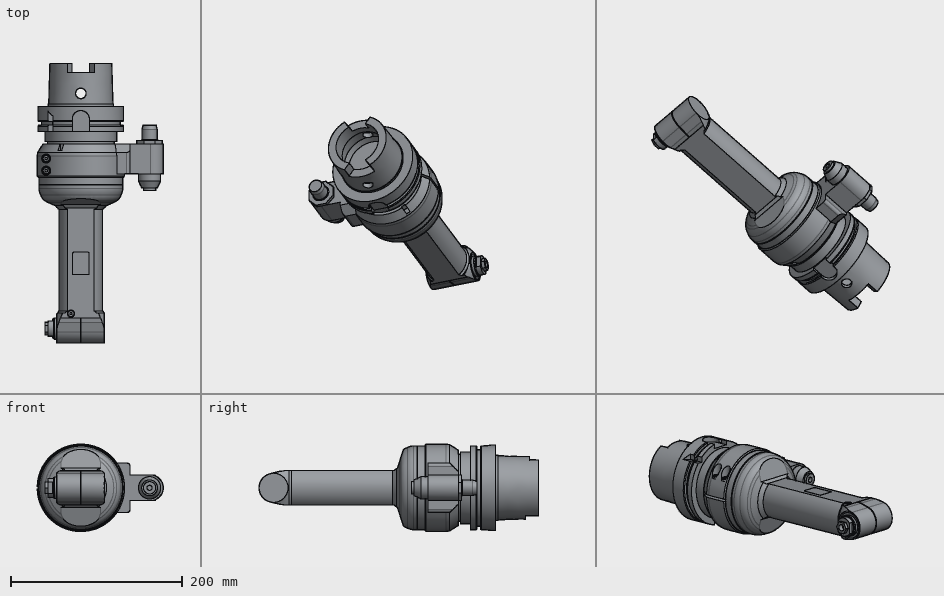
import cadquery as cq
import math


SHANK_END_Y = 50.0
SHANK_END_RADIUS = 36.2
SHANK_BASE_RADIUS = 37.6
SEAT_RADIUS = 38.2
SEAT_HEIGHT = 2.7

BORE_RADIUS = 53.0 / 2
BORE_FLOOR_RADIUS = 28.5
CLAMP_GROOVE_RADIUS = 63.0 / 2
CLAMP_GROOVE_TOP_Y = 27.4
CLAMP_GROOVE_SHOULDER_Y = 30.1
CLAMP_GROOVE_BOTTOM_Y = 9.8

SLOT_HALF_WIDTH = 10.0
SLOT_FLARE_HALF_WIDTH = 15.8
SLOT_FLARE_START_Z = 24.5
SLOT_FLARE_END_Z = 32.3
UPPER_SLOT_DEPTH = 10.4
LOWER_SLOT_DEPTH = 15.0
ACCESS_HOLE_DIAMETER = 12.0
ACCESS_HOLE_Y = 15.1

FLANGE_RADIUS = 50.0
FLANGE_BACK_Y = -29.5
GRIP_GROOVE_RADIUS = 46.0
GRIP_GROOVE_FRONT_Y = -17.8
GRIP_GROOVE_BACK_Y = -21.8
GRIP_EDGE_LENGTH = 1.4
GRIP_EDGE_DROP = 0.8
KEYWAY_TOP_Y = -4.9
KEYWAY_FLOOR_Z = 44.0
NOTCH_X = -32.2
NOTCH_Z = 32.0
NOTCH_OUTER_X = -38.6
NOTCH_OUTER_Y = -5.5
NOTCH_INNER_Y = -11.8

NECK_RADIUS = 42.0
NECK_STEP_Y = -41.1
NECK_END_RADIUS = 39.2

RING_FRONT_Y = -43.6
RING_BACK_Y = -82.6
RING_RADIUS = 51.0
RING_FRONT_RADIUS = 44.0
RING_BORE_RADIUS = 36.0
RING_BEVEL_RADIUS = 50.4
RING_BEVEL_END_Y = -53.6
RING_BLEND_END_Y = -57.7
RING_EDGE_CHAMFER = 1.4
SLIT_WIDTH = 3.0

SCREW_X = -40.4
SCREW_YS = (-60.8, -74.9)
SCREW_POCKET_DIAMETER = 10.4
SCREW_POCKET_FLOOR_Z = 21.0
SCREW_HEAD_DIAMETER = 9.0
SCREW_HEAD_HEIGHT = 3.3
SCREW_HEAD_CHAMFER = 1.0
SCREW_SOCKET_DIAMETER = 3.0
SCREW_SOCKET_DEPTH = 2.0
SCREW_SHANK_DIAMETER = 6.0

RING_GROOVE_WIDTH = 5.0
RING_GROOVE_LENGTH = 8.0
RING_GROOVE_FLOOR_RADIUS = 42.5
RING_GROOVE_ANGLES = (120, 240)

BLOCK_BACK_Y = -78.6
BLOCK_END_X = 57.5
BLOCK_HALF_HEIGHT = 29.0
BLOCK_EDGE_RADIUS = 4.0
BLOCK_BEVEL_HEIGHT = 10.0
ARM_TIP_X = 96.23
ARM_HALF_WIDTH = 15.0

PIN_X = 80.1
PIN_DIAMETER = 18.0
PIN_TOP_Y = -22.0
PIN_TIP_CHAMFER_WIDTH = 1.2
PIN_TIP_CHAMFER_LENGTH = 4.8
PIN_FOOT_DIAMETER = 20.0
PIN_FOOT_HEIGHT = 0.9
PIN_COLLAR_WIDTH = 30.0
PIN_COLLAR_HEIGHT = 4.0
PIN_COLLAR_SIDES = 8
PIN_CAP_DIAMETER = 26.0
PIN_CAP_LENGTH = 8.5
PIN_CONE_END_DIAMETER = 18.4
PIN_CONE_LENGTH = 8.0
PIN_END_DIAMETER = 14.4
PIN_BOTTOM_Y = -98.2
PIN_SOCKET_DIAMETER = 6.0
PIN_SOCKET_DEPTH = 5.0

BELL_RADIUS = 49.0
BELL_ROUND_START_Y = -95.8
BELL_ROUND_MID = (48.4, -99.6)
BELL_ROUND_END = (47.0, -103.0)
BELL_SHOULDER_MID = (44.9, -107.3)
BELL_SHOULDER_END = (41.75, -110.2)
BELL_CONE_START = (38.4, -112.0)
BELL_CONE_END = (30.0, -115.8)
BELL_SEAM_Y = -91.5
SEAM_WIDTH = 0.8
SEAM_DEPTH = 0.4
BELL_FLAT_OUTER = (-106.2, 48.7)
BELL_FLAT_INNER = (-114.6, 23.0)
BELL_FLAT_FOOT_Y = -118.5
NECK_TUBE_RADIUS = 25.5
NECK_TUBE_START_Y = -120.3
NECK_TUBE_HALF_HEIGHT = 20.2

PLATE_WIDTH = 19.0
PLATE_TOP_Y = -169.5
PLATE_BOTTOM_Y = -196.1
PLATE_CORNER_RADIUS = 2.0
PLATE_DEPTH = 0.2

TIP_Y = -275.94
HEAD_LEFT_X = -28.1
HEAD_RIGHT_X = 27.4
HEAD_BACK_Y = -241.0
HEAD_ROUND_RADIUS = 17.0
HEAD_TAPER_START_Y = -246.8
HEAD_TAPER_ANGLE = 14.0
HEAD_TAPER_STEP = 0.35
HEAD_TAPER_EDGE_Y = -251.7
HEAD_END_CONE_RUN = 0.68
HEAD_FLARE_START_Y = -238.2
HEAD_FLARE_RADIUS = 27.5

HEAD_SCREW_X = -11.5
HEAD_SCREW_Y = -241.5
HEAD_SCREW_POCKET_DIAMETER = 8.5
HEAD_SCREW_POCKET_DEPTH = 1.5
HEAD_SCREW_DIAMETER = 7.0
HEAD_SCREW_HEIGHT = 1.2
HEAD_SCREW_SOCKET_DIAMETER = 2.6
FACE_RECESS_RADIUS = 15.2
FACE_RECESS_DEPTH = 0.4
SIDE_HOLE_DIAMETER = 2.5
SIDE_HOLE_DEPTH = 2.0
SIDE_HOLE_RADIUS = 13.8
SIDE_HOLE_ANGLE = 10.0

NUT_BASE_RADIUS = 12.5
NUT_BASE_LENGTH = 4.2
NUT_RIM_CHAMFER = 1.0
NUT_RADIUS = 11.1
NUT_FACE_X = -38.0
NUT_NOSE_X = -42.0
NUT_NOSE_WIDTH = 15.0
NUT_FLAT_HALF_WIDTH = 9.0
NUT_FLAT_LENGTH = 5.0
NUT_BORE_DIAMETER = 7.5
NUT_BORE_DEPTH = 6.0

REACH = 2 * RING_RADIUS


def revolve_y(outline):
    """Turn a closed (radius, y) outline about the Y axis."""
    return outline.close().revolve(360, (0, 0, 0), (0, 1, 0))


def cylinder_y(radius, y_top, y_bottom, x=0.0):
    return cq.Workplane("XZ", origin=(x, y_top, 0)).circle(radius).extrude(y_top - y_bottom)


def cylinder_z(diameter, x, y, z_bottom, z_top):
    plane = cq.Workplane("XY", origin=(x, y, z_bottom))
    return plane.circle(diameter / 2).extrude(z_top - z_bottom)


def box_between(x_range, y_range, z_range):
    sizes = [high - low for low, high in (x_range, y_range, z_range)]
    corner = (x_range[0], y_range[0], z_range[0])
    return cq.Workplane("XY").box(*sizes, centered=False).translate(corner)


def seam_ring(radius, y):
    """Shallow ring groove round a cylinder on the Y axis."""
    top = y + SEAM_WIDTH / 2
    bottom = y - SEAM_WIDTH / 2
    return cylinder_y(radius + SEAM_DEPTH, top, bottom).cut(cylinder_y(radius - SEAM_DEPTH, top, bottom))



def spindle_blank():
    return revolve_y(
        cq.Workplane("XY")
        .moveTo(0, SHANK_END_Y)
        .lineTo(SHANK_END_RADIUS, SHANK_END_Y)
        .lineTo(SHANK_BASE_RADIUS, SEAT_HEIGHT)
        .lineTo(SEAT_RADIUS, SEAT_HEIGHT)
        .lineTo(SEAT_RADIUS, 0)
        .lineTo(FLANGE_RADIUS, 0)
        .lineTo(FLANGE_RADIUS, GRIP_GROOVE_FRONT_Y + GRIP_EDGE_LENGTH)
        .lineTo(FLANGE_RADIUS - GRIP_EDGE_DROP, GRIP_GROOVE_FRONT_Y)
        .lineTo(GRIP_GROOVE_RADIUS, GRIP_GROOVE_FRONT_Y)
        .lineTo(GRIP_GROOVE_RADIUS, GRIP_GROOVE_BACK_Y)
        .lineTo(FLANGE_RADIUS - GRIP_EDGE_DROP, GRIP_GROOVE_BACK_Y)
        .lineTo(FLANGE_RADIUS, GRIP_GROOVE_BACK_Y - GRIP_EDGE_LENGTH)
        .lineTo(FLANGE_RADIUS, FLANGE_BACK_Y)
        .lineTo(NECK_RADIUS, FLANGE_BACK_Y)
        .lineTo(NECK_RADIUS, NECK_STEP_Y)
        .lineTo(NECK_END_RADIUS, NECK_STEP_Y)
        .lineTo(NECK_END_RADIUS, RING_FRONT_Y)
        .lineTo(0, RING_FRONT_Y)
    )


def shank_bore():
    return revolve_y(
        cq.Workplane("XY")
        .moveTo(0, SHANK_END_Y)
        .lineTo(BORE_RADIUS, SHANK_END_Y)
        .lineTo(BORE_RADIUS, CLAMP_GROOVE_SHOULDER_Y)
        .lineTo(CLAMP_GROOVE_RADIUS, CLAMP_GROOVE_TOP_Y)
        .lineTo(CLAMP_GROOVE_RADIUS, CLAMP_GROOVE_BOTTOM_Y)
        .lineTo(BORE_FLOOR_RADIUS, SEAT_HEIGHT)
        .lineTo(0, SEAT_HEIGHT)
    )


def end_slot(depth):
    """Drive slot in the shank end on the +Z side, flared towards the outside."""
    return (
        cq.Workplane("XZ", origin=(0, SHANK_END_Y, 0))
        .moveTo(SLOT_HALF_WIDTH, 0)
        .lineTo(SLOT_HALF_WIDTH, SLOT_FLARE_START_Z)
        .lineTo(SLOT_FLARE_HALF_WIDTH, SLOT_FLARE_END_Z)
        .lineTo(SLOT_FLARE_HALF_WIDTH, FLANGE_RADIUS)
        .lineTo(-SLOT_FLARE_HALF_WIDTH, FLANGE_RADIUS)
        .lineTo(-SLOT_FLARE_HALF_WIDTH, SLOT_FLARE_END_Z)
        .lineTo(-SLOT_HALF_WIDTH, SLOT_FLARE_START_Z)
        .lineTo(-SLOT_HALF_WIDTH, 0)
        .close()
        .extrude(depth)
    )


def flange_keyway():
    """Round-ended keyway on the +Z side, open at the back of the flange."""
    arc_y = KEYWAY_TOP_Y - SLOT_HALF_WIDTH
    return (
        cq.Workplane("XY", origin=(0, 0, KEYWAY_FLOOR_Z))
        .moveTo(-SLOT_HALF_WIDTH, FLANGE_BACK_Y)
        .lineTo(-SLOT_HALF_WIDTH, arc_y)
        .threePointArc((0, KEYWAY_TOP_Y), (SLOT_HALF_WIDTH, arc_y))
        .lineTo(SLOT_HALF_WIDTH, FLANGE_BACK_Y)
        .close()
        .extrude(FLANGE_RADIUS)
    )


def flange_notch():
    """Corner notch in the flange rim on the -X, +Z side, with a slanted end."""
    return (
        cq.Workplane("XY", origin=(0, 0, NOTCH_Z))
        .moveTo(NOTCH_X, FLANGE_BACK_Y)
        .lineTo(NOTCH_X, NOTCH_INNER_Y)
        .lineTo(NOTCH_OUTER_X, NOTCH_OUTER_Y)
        .lineTo(-FLANGE_RADIUS, NOTCH_OUTER_Y)
        .lineTo(-FLANGE_RADIUS, FLANGE_BACK_Y)
        .close()
        .extrude(FLANGE_RADIUS)
    )


def make_spindle():
    body = spindle_blank().cut(shank_bore())
    body = body.cut(end_slot(UPPER_SLOT_DEPTH))
    body = body.cut(end_slot(LOWER_SLOT_DEPTH).mirror("XY"))
    body = body.cut(cylinder_z(ACCESS_HOLE_DIAMETER, 0, ACCESS_HOLE_Y, -FLANGE_RADIUS, FLANGE_RADIUS))
    keyway = flange_keyway()
    return body.cut(keyway).cut(keyway.mirror("XY")).cut(flange_notch())



def ring_blank():
    return revolve_y(
        cq.Workplane("XY")
        .moveTo(0, RING_FRONT_Y)
        .lineTo(RING_FRONT_RADIUS, RING_FRONT_Y)
        .lineTo(RING_BEVEL_RADIUS, RING_BEVEL_END_Y)
        .lineTo(RING_RADIUS, RING_BLEND_END_Y)
        .lineTo(RING_RADIUS, RING_BACK_Y + RING_EDGE_CHAMFER)
        .lineTo(RING_RADIUS - RING_EDGE_CHAMFER, RING_BACK_Y)
        .lineTo(0, RING_BACK_Y)
    )


def torque_arm():
    """Block with rounded outer edges and bevelled front, carrying the round-ended arm."""
    block = box_between(
        (0, BLOCK_END_X), (BLOCK_BACK_Y, RING_FRONT_Y), (-BLOCK_HALF_HEIGHT, BLOCK_HALF_HEIGHT)
    )
    block = block.edges("|Y and >X").fillet(BLOCK_EDGE_RADIUS)
    bevel_z = BLOCK_HALF_HEIGHT - BLOCK_BEVEL_HEIGHT
    bevel = (
        cq.Workplane("YZ")
        .moveTo(RING_FRONT_Y, bevel_z)
        .lineTo(RING_BEVEL_END_Y, BLOCK_HALF_HEIGHT)
        .lineTo(RING_FRONT_Y, BLOCK_HALF_HEIGHT)
        .close()
        .extrude(BLOCK_END_X)
    )
    block = block.cut(bevel).cut(bevel.mirror("XY"))
    round_x = ARM_TIP_X - ARM_HALF_WIDTH
    arm = (
        cq.Workplane("XZ", origin=(0, RING_FRONT_Y, 0))
        .moveTo(0, -ARM_HALF_WIDTH)
        .lineTo(round_x, -ARM_HALF_WIDTH)
        .threePointArc((ARM_TIP_X, 0), (round_x, ARM_HALF_WIDTH))
        .lineTo(0, ARM_HALF_WIDTH)
        .close()
        .extrude(RING_FRONT_Y - BLOCK_BACK_Y)
    )
    return block.union(arm)


def clamp_screw(y):
    """Socket head and the shank that crosses the slit."""
    head_top = SCREW_POCKET_FLOOR_Z + SCREW_HEAD_HEIGHT
    head = cylinder_z(SCREW_HEAD_DIAMETER, SCREW_X, y, SCREW_POCKET_FLOOR_Z, head_top)
    head = head.faces(">Z").chamfer(SCREW_HEAD_CHAMFER)
    head = head.cut(cylinder_z(SCREW_SOCKET_DIAMETER, SCREW_X, y, head_top - SCREW_SOCKET_DEPTH, head_top))
    shank = cylinder_z(SCREW_SHANK_DIAMETER, SCREW_X, y, -SLIT_WIDTH, SCREW_POCKET_FLOOR_Z)
    return head.union(shank)


def ring_groove(angle):
    """Short groove across the bevelled front edge, at an angle measured from +X towards +Z."""
    groove = box_between(
        (RING_GROOVE_FLOOR_RADIUS, REACH),
        (RING_FRONT_Y - RING_GROOVE_LENGTH, RING_FRONT_Y),
        (-RING_GROOVE_WIDTH / 2, RING_GROOVE_WIDTH / 2),
    )
    return groove.rotate((0, 0, 0), (0, 1, 0), -angle)


def make_clamp_ring():
    body = ring_blank().union(torque_arm())
    body = body.cut(
        box_between((-REACH, 0), (RING_BACK_Y, RING_FRONT_Y), (-SLIT_WIDTH / 2, SLIT_WIDTH / 2))
    )
    for y in SCREW_YS:
        body = body.cut(cylinder_z(SCREW_POCKET_DIAMETER, SCREW_X, y, SCREW_POCKET_FLOOR_Z, REACH))
        body = body.union(clamp_screw(y))
    for angle in RING_GROOVE_ANGLES:
        body = body.cut(ring_groove(angle))
    body = body.cut(cylinder_y(RING_BORE_RADIUS, RING_FRONT_Y, RING_BACK_Y))
    return body.cut(cylinder_y(PIN_DIAMETER / 2, RING_FRONT_Y, BLOCK_BACK_Y, PIN_X))



def make_stop_pin():
    collar_top_y = RING_FRONT_Y + PIN_COLLAR_HEIGHT
    foot_top_y = collar_top_y + PIN_FOOT_HEIGHT
    cap_end_y = BLOCK_BACK_Y - PIN_CAP_LENGTH
    cone_end_y = cap_end_y - PIN_CONE_LENGTH
    radius = PIN_DIAMETER / 2
    turned = revolve_y(
        cq.Workplane("XY")
        .moveTo(0, PIN_TOP_Y)
        .lineTo(radius - PIN_TIP_CHAMFER_WIDTH, PIN_TOP_Y)
        .lineTo(radius, PIN_TOP_Y - PIN_TIP_CHAMFER_LENGTH)
        .lineTo(radius, foot_top_y)
        .lineTo(PIN_FOOT_DIAMETER / 2, collar_top_y)
        .lineTo(radius, collar_top_y)
        .lineTo(radius, BLOCK_BACK_Y)
        .lineTo(PIN_CAP_DIAMETER / 2, BLOCK_BACK_Y)
        .lineTo(PIN_CAP_DIAMETER / 2, cap_end_y)
        .lineTo(PIN_CONE_END_DIAMETER / 2, cone_end_y)
        .lineTo(PIN_END_DIAMETER / 2, cone_end_y)
        .lineTo(PIN_END_DIAMETER / 2, PIN_BOTTOM_Y)
        .lineTo(0, PIN_BOTTOM_Y)
    ).translate((PIN_X, 0, 0))
    collar = (
        cq.Workplane("XZ", origin=(PIN_X, collar_top_y, 0))
        .polygon(PIN_COLLAR_SIDES, PIN_COLLAR_WIDTH, circumscribed=True)
        .extrude(PIN_COLLAR_HEIGHT)
    )
    socket = cylinder_y(PIN_SOCKET_DIAMETER / 2, PIN_BOTTOM_Y + PIN_SOCKET_DEPTH, PIN_BOTTOM_Y, PIN_X)
    return turned.union(collar).cut(socket)



def bell_and_neck():
    """Journal inside the clamp ring, bell and round neck, before the flats are cut."""
    return revolve_y(
        cq.Workplane("XY")
        .moveTo(0, RING_FRONT_Y)
        .lineTo(RING_BORE_RADIUS, RING_FRONT_Y)
        .lineTo(RING_BORE_RADIUS, RING_BACK_Y)
        .lineTo(BELL_RADIUS, RING_BACK_Y)
        .lineTo(BELL_RADIUS, BELL_ROUND_START_Y)
        .threePointArc(BELL_ROUND_MID, BELL_ROUND_END)
        .threePointArc(BELL_SHOULDER_MID, BELL_SHOULDER_END)
        .lineTo(*BELL_CONE_START)
        .lineTo(*BELL_CONE_END)
        .lineTo(NECK_TUBE_RADIUS, NECK_TUBE_START_Y)
        .lineTo(NECK_TUBE_RADIUS, HEAD_FLARE_START_Y)
        .lineTo(HEAD_FLARE_RADIUS, HEAD_BACK_Y)
        .lineTo(0, HEAD_BACK_Y)
    )


def upper_flat():
    """Cutter for the flat on the +Z side of the neck and the slanted flat on the bell."""
    return (
        cq.Workplane("YZ")
        .polyline([
            BELL_FLAT_OUTER,
            BELL_FLAT_INNER,
            (BELL_FLAT_FOOT_Y, NECK_TUBE_HALF_HEIGHT),
            (TIP_Y, NECK_TUBE_HALF_HEIGHT),
            (TIP_Y, BELL_FLAT_OUTER[1]),
        ])
        .close()
        .extrude(BELL_RADIUS, both=True)
    )


def head_block():
    """Tapered head with a round nose, extruded along X and coned down to a disc at both ends."""
    angle = math.radians(HEAD_TAPER_ANGLE)
    centre_y = TIP_Y + HEAD_ROUND_RADIUS
    tangent_y = centre_y - HEAD_ROUND_RADIUS * math.sin(angle)
    tangent_z = HEAD_ROUND_RADIUS * math.cos(angle)
    edge_z = tangent_z + (HEAD_TAPER_EDGE_Y - tangent_y) * math.tan(angle)
    half_height = NECK_TUBE_HALF_HEIGHT
    step_z = half_height - HEAD_TAPER_STEP
    block = (
        cq.Workplane("YZ", origin=(HEAD_LEFT_X, 0, 0))
        .moveTo(HEAD_BACK_Y, -half_height)
        .lineTo(HEAD_TAPER_START_Y, -half_height)
        .lineTo(HEAD_TAPER_START_Y, -step_z)
        .lineTo(HEAD_TAPER_EDGE_Y, -edge_z)
        .lineTo(tangent_y, -tangent_z)
        .threePointArc((TIP_Y, 0), (tangent_y, tangent_z))
        .lineTo(HEAD_TAPER_EDGE_Y, edge_z)
        .lineTo(HEAD_TAPER_START_Y, step_z)
        .lineTo(HEAD_TAPER_START_Y, half_height)
        .lineTo(HEAD_BACK_Y, half_height)
        .close()
        .extrude(HEAD_RIGHT_X - HEAD_LEFT_X)
    )
    outer_radius = 2 * HEAD_ROUND_RADIUS
    cone_length = HEAD_END_CONE_RUN * (outer_radius - HEAD_ROUND_RADIUS)
    envelope = (
        cq.Workplane("XY", origin=(0, centre_y, 0))
        .moveTo(HEAD_LEFT_X, 0)
        .lineTo(HEAD_LEFT_X, HEAD_ROUND_RADIUS)
        .lineTo(HEAD_LEFT_X + cone_length, outer_radius)
        .lineTo(HEAD_RIGHT_X - cone_length, outer_radius)
        .lineTo(HEAD_RIGHT_X, HEAD_ROUND_RADIUS)
        .lineTo(HEAD_RIGHT_X, 0)
        .close()
        .revolve(360, (0, 0, 0), (1, 0, 0))
    )
    return block.intersect(envelope)


def name_plate():
    plate = box_between(
        (-PLATE_WIDTH / 2, PLATE_WIDTH / 2),
        (PLATE_BOTTOM_Y, PLATE_TOP_Y),
        (NECK_TUBE_HALF_HEIGHT - PLATE_DEPTH, NECK_TUBE_HALF_HEIGHT),
    )
    return plate.edges("|Z and >Y").fillet(PLATE_CORNER_RADIUS)


def add_head_screw(body):
    floor_z = NECK_TUBE_HALF_HEIGHT - HEAD_SCREW_POCKET_DEPTH
    head_top = floor_z + HEAD_SCREW_HEIGHT
    place = (HEAD_SCREW_X, HEAD_SCREW_Y, floor_z)
    body = body.cut(cylinder_z(HEAD_SCREW_POCKET_DIAMETER, *place, REACH))
    body = body.union(cylinder_z(HEAD_SCREW_DIAMETER, *place, head_top))
    return body.cut(cylinder_z(HEAD_SCREW_SOCKET_DIAMETER, *place, head_top))


def side_hole(angle):
    """Small blind hole near the nose, in the face that carries the nut."""
    y = TIP_Y + HEAD_ROUND_RADIUS - SIDE_HOLE_RADIUS * math.cos(math.radians(angle))
    z = SIDE_HOLE_RADIUS * math.sin(math.radians(angle))
    return (
        cq.Workplane("YZ", origin=(HEAD_LEFT_X, y, z)).circle(SIDE_HOLE_DIAMETER / 2).extrude(SIDE_HOLE_DEPTH)
    )


def face_recess():
    """Shallow round recess in which the collet nut is seated."""
    plane = cq.Workplane("YZ", origin=(HEAD_LEFT_X, TIP_Y + HEAD_ROUND_RADIUS, 0))
    return plane.circle(FACE_RECESS_RADIUS).extrude(FACE_RECESS_DEPTH)


def head_seam():
    """Shallow groove round the middle of the head, following its nose."""
    head = head_block()
    slab = box_between((-SEAM_WIDTH / 2, SEAM_WIDTH / 2), (TIP_Y, HEAD_TAPER_START_Y), (-REACH, REACH))
    core = head.translate((0, SEAM_DEPTH, 0))
    return head.intersect(slab).cut(core)


def make_housing():
    flat = upper_flat()
    body = bell_and_neck().cut(flat).cut(flat.mirror("XY"))
    body = body.union(head_block())
    body = body.cut(seam_ring(BELL_RADIUS, BELL_SEAM_Y)).cut(head_seam()).cut(name_plate())
    body = body.cut(face_recess())
    body = add_head_screw(body)
    for angle in (-SIDE_HOLE_ANGLE, SIDE_HOLE_ANGLE):
        body = body.cut(side_hole(angle))
    return body



def make_collet_nut():
    axis_y = TIP_Y + HEAD_ROUND_RADIUS
    seat_x = HEAD_LEFT_X + FACE_RECESS_DEPTH

    def towards_tool(x):
        """Plane across the nut axis, facing -X."""
        return cq.Workplane(cq.Plane((x, axis_y, 0), (0, 1, 0), (-1, 0, 0)))

    body = towards_tool(seat_x).circle(NUT_RADIUS).extrude(seat_x - NUT_FACE_X)
    front_x = NUT_FACE_X + NUT_FLAT_LENGTH
    wrench_y = (axis_y - NUT_FLAT_HALF_WIDTH, axis_y + NUT_FLAT_HALF_WIDTH)
    wrench_flats = box_between((NUT_FACE_X, front_x), wrench_y, (-NUT_RADIUS, NUT_RADIUS))
    round_rear = box_between((front_x, seat_x), (TIP_Y, HEAD_BACK_Y), (-NUT_RADIUS, NUT_RADIUS))
    body = body.intersect(wrench_flats.union(round_rear))
    base = towards_tool(seat_x).circle(NUT_BASE_RADIUS).extrude(NUT_BASE_LENGTH)
    nose = towards_tool(NUT_FACE_X).polygon(6, NUT_NOSE_WIDTH).extrude(NUT_FACE_X - NUT_NOSE_X)
    bore = towards_tool(NUT_NOSE_X + NUT_BORE_DEPTH).circle(NUT_BORE_DIAMETER / 2).extrude(NUT_BORE_DEPTH)
    return body.union(base.faces("<X").chamfer(NUT_RIM_CHAMFER)).union(nose).cut(bore)


spindle = make_spindle()
clamp_ring = make_clamp_ring()
stop_pin = make_stop_pin()
housing = make_housing()
collet_nut = make_collet_nut()

result = cq.Compound.makeCompound(
    [spindle.val(), clamp_ring.val(), stop_pin.val(), housing.val(), collet_nut.val()]
)